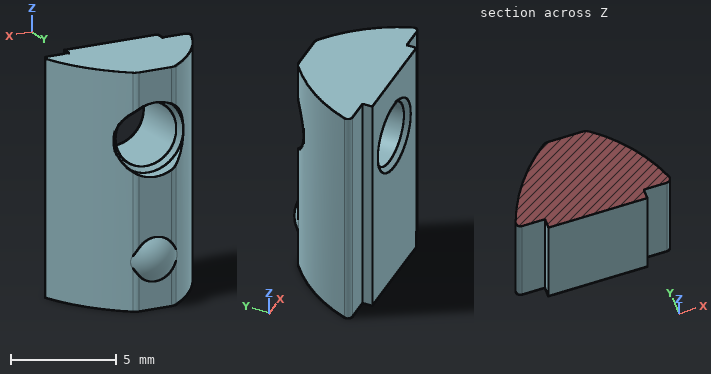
import cadquery as cq
import math

length = 12.0
tongue_width = 5.0
tongue_height = 0.5
crest_y = 4.6
crest_half_width = 1.02
wing_half_width = 3.98
flank_radius = 8.0
wing_rounding = 0.24
crest_rounding = 0.48

hole_diameter = 3.24
hole_z = 8.5
countersink_diameter = 3.73
rear_countersink_top_y = 3.88

ball_radius = 1.5
ball_top_y = 5.09
ball_z = 2.5


def flank_midpoint():
    """Middle of the convex right flank, between the wing and crest corners."""
    run = wing_half_width - crest_half_width
    rise = crest_y - tongue_height
    chord = math.hypot(run, rise)
    sagitta = flank_radius - math.sqrt(flank_radius**2 - (chord / 2)**2)
    x = (wing_half_width + crest_half_width) / 2 + sagitta * rise / chord
    y = (tongue_height + crest_y) / 2 + sagitta * run / chord
    return x, y


def make_body():
    mid_x, mid_y = flank_midpoint()
    body = (
        cq.Workplane("XY")
        .moveTo(-wing_half_width, tongue_height)
        .lineTo(wing_half_width, tongue_height)
        .threePointArc((mid_x, mid_y), (crest_half_width, crest_y))
        .lineTo(-crest_half_width, crest_y)
        .threePointArc((-mid_x, mid_y), (-wing_half_width, tongue_height))
        .close()
        .extrude(length)
    )
    wing_edges = cq.selectors.BoxSelector(
        (-length, 0, 0), (length, 2 * tongue_height, length)
    )
    body = body.edges("|Z").edges(wing_edges).fillet(wing_rounding)
    return body.edges("|Z and >Y").fillet(crest_rounding)


def make_tongue():
    return cq.Workplane("XY").box(
        tongue_width, crest_y / 2, length, centered=(True, False, False)
    )


def make_hole():
    """Through hole, countersunk at 45 degrees on the tongue and on the flanks."""
    radius = hole_diameter / 2
    mouth = countersink_diameter / 2
    depth = mouth - radius
    return (
        cq.Workplane("XY")
        .polyline([
            (0, 0),
            (mouth, 0),
            (radius, depth),
            (radius, rear_countersink_top_y - depth),
            (mouth, rear_countersink_top_y),
            (mouth, ball_top_y),
            (0, ball_top_y),
        ])
        .close()
        .revolve(360, (0, 0, 0), (0, 1, 0))
        .translate((0, 0, hole_z))
    )


def make_ball():
    return cq.Workplane("XY").sphere(ball_radius).translate((0, ball_top_y - ball_radius, ball_z))


result = make_body().union(make_tongue()).union(make_ball()).cut(make_hole())